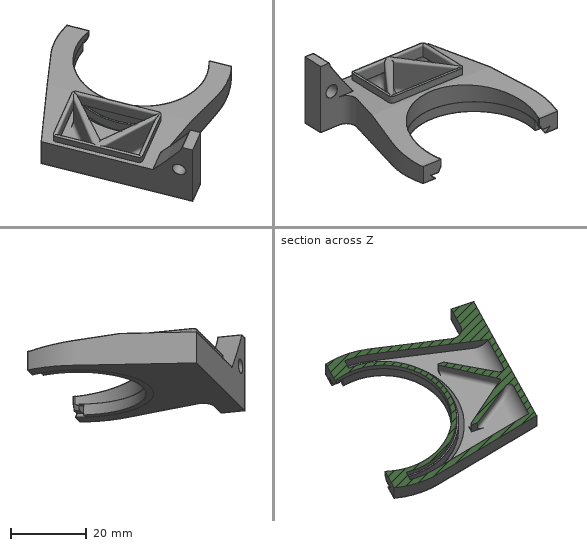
import cadquery as cq
import math

total_depth = 44.5
body_height = 8.65
bore_center_y = 37.7
bore_radius = 18.0
arm_radius = 24.0
front_half_width = 15.25

tip_height = 5.2
tip_flat_length = 1.0
tip_half_gap = 16.9
tip_bevel_half_gap = 18.8

ear_right_x = 27.15
ear_depth = 6.6
ear_height = 20.3
ear_root_x = 16.0
ear_bend = (19.9, 13.6)
ear_kink = (23.65, 18.9)
ear_top_x = 24.25
ear_fillet = 3.0
ear_hole_x = 23.4
ear_hole_z = 11.3
ear_hole_diameter = 3.85

wall = 1.5
side_wall = 1.95
front_floor_radius = 4.35

rim_height = 2.05
rim_half_width = 12.5
rim_front_y = 1.2
rim_back_y = 18.25
rim_corner_radius = 1.0
rim_land = 0.6
edge_round = 0.5
rib_apex_y = 3.15
rib_foot_half_width = 0.75
rib_corner_drop = 0.65
rib_foot_fillet = 1.0

ring_outer_radius = 19.95
ring_height = 3.0
ring_end_y = bore_center_y + 4.1

slope_start_y = bore_center_y - bore_radius
tip_flat_y = total_depth - tip_flat_length
rim_top = body_height + rim_height
cavity_top = body_height - wall
cavity_back_y = total_depth - wall
window_half_width = rim_half_width - rim_land
window_front_y = rim_front_y + rim_land
window_back_y = rim_back_y - rim_land

corner_distance = math.hypot(front_half_width, bore_center_y)
side_angle = math.asin(arm_radius / corner_distance) - math.atan2(front_half_width, bore_center_y)

reach = 30.7
margin = 0.05


def box_between(low, high):
    size = [end - start for start, end in zip(low, high)]
    return cq.Workplane("XY").box(*size, centered=False).translate(low)


def band(y_start, y_end, z_start, z_end):
    """Block across the full width of the part."""
    return box_between((-reach, y_start, z_start), (reach, y_end, z_end))


def disc(radius, height):
    """Disc on the bore axis, standing on the underside plane."""
    return cq.Workplane("XY").center(0, bore_center_y).circle(radius).extrude(height)


def prism_along_y(points, y_start, y_end):
    return cq.Workplane("XZ", origin=(0, y_start, 0)).polyline(points).close().extrude(y_start - y_end)


def fork_plan(radius, front_y, back_y):
    """Full-height fork without its bore: straight sides tangent to arcs of the given radius."""
    tangent_x = radius * math.cos(side_angle)
    tangent_y = bore_center_y - radius * math.sin(side_angle)
    front_x = tangent_x - (tangent_y - front_y) * math.tan(side_angle)
    back_x = math.sqrt(radius**2 - (back_y - bore_center_y) ** 2)
    return (
        cq.Workplane("XY")
        .moveTo(-front_x, front_y)
        .lineTo(front_x, front_y)
        .lineTo(tangent_x, tangent_y)
        .threePointArc((radius, bore_center_y), (back_x, back_y))
        .lineTo(-back_x, back_y)
        .threePointArc((-radius, bore_center_y), (-tangent_x, tangent_y))
        .close()
        .extrude(body_height)
    )


def under_sloping_top(bottom, drop):
    """Space from a bottom height up to the sloping top, with that top lowered by the drop."""
    profile = [
        (0, bottom),
        (0, body_height - drop),
        (slope_start_y, body_height - drop),
        (tip_flat_y, tip_height - drop),
        (total_depth, tip_height - drop),
        (total_depth, bottom),
    ]
    return cq.Workplane("YZ", origin=(-reach, 0, 0)).polyline(profile).close().extrude(2 * reach)


def make_body():
    """Solid fork with the base of the ear blended into its right side."""
    ear_base = box_between((0, 0, 0), (ear_right_x, ear_depth, body_height))
    body = fork_plan(arm_radius, 0, total_depth).union(ear_base)
    inner_corner = cq.selectors.BoxSelector(
        (ear_root_x, ear_depth - margin, 0),
        (ear_right_x - margin, ear_depth + margin, body_height),
    )
    body = body.edges("|Z").edges(inner_corner).fillet(ear_fillet)
    return body.intersect(under_sloping_top(0, 0))


def make_ear():
    profile = [
        (ear_root_x, body_height),
        ear_bend,
        ear_kink,
        (ear_top_x, ear_height),
        (ear_right_x, ear_height),
        (ear_right_x, body_height),
    ]
    return prism_along_y(profile, 0, ear_depth)


def make_ear_hole():
    center = cq.Workplane("XZ").center(ear_hole_x, ear_hole_z)
    return center.circle(ear_hole_diameter / 2).extrude(-ear_depth)


def make_rim():
    low = (-rim_half_width, rim_front_y, body_height)
    high = (rim_half_width, rim_back_y, rim_top)
    return box_between(low, high).edges("|Z").fillet(rim_corner_radius)


def make_pockets():
    """Triangular openings from floor to rim top: between the legs of the V, then one on each side."""
    outlines = [[(-window_half_width, window_back_y), (window_half_width, window_back_y), (0, rib_apex_y)]]
    for side in (-1, 1):
        outlines.append(
            [
                (side * window_half_width, window_back_y - rib_corner_drop),
                (side * window_half_width, window_front_y),
                (side * rib_foot_half_width, window_front_y),
            ]
        )
    floor_plane = cq.Workplane("XY", origin=(0, 0, wall))
    return [
        floor_plane.polyline(points).close().offset2D(-edge_round).extrude(rim_top - wall)
        for points in outlines
    ]


def make_rib(pockets):
    """V-shaped rib standing on the floor, left between the pockets."""
    rib = box_between(
        (-window_half_width + edge_round, window_front_y + edge_round, wall),
        (window_half_width - edge_round, window_back_y - edge_round, cavity_top),
    )
    for pocket in pockets:
        rib = rib.cut(pocket)
    return rib


def front_floor_blend(middle_pocket):
    """Concave blend from the floor up to the front wall, clear of the flat floor inside the V."""
    center = wall + front_floor_radius
    cylinder = (
        cq.Workplane("YZ", origin=(-reach, center, center)).circle(front_floor_radius).extrude(2 * reach)
    )
    return band(0, center, 0, center).cut(cylinder).cut(middle_pocket)


def make_cavity(pockets):
    """Hollow inside the walls, around the V rib with its filleted foot."""
    plan = fork_plan(arm_radius - side_wall, wall, cavity_back_y).cut(disc(bore_radius + wall, body_height))
    cavity = plan.intersect(under_sloping_top(wall, wall))
    cavity = cavity.cut(front_floor_blend(pockets[0])).cut(make_rib(pockets))
    window_floor = cq.selectors.BoxSelector(
        (-window_half_width, window_front_y, wall - margin),
        (window_half_width, window_back_y, wall + margin),
    )
    rib_foot = cavity.edges(window_floor).edges("not(|X or |Y)").edges("%LINE")
    return rib_foot.fillet(rib_foot_fillet)


def make_ring_seat():
    return disc(ring_outer_radius, ring_height).intersect(band(0, cavity_back_y, 0, ring_height))


def make_floor_bevel():
    """45 degree cone that trims the floor edge back from the ring, widening upward."""
    center = cq.Vector(0, bore_center_y, 0)
    return cq.Workplane(cq.Solid.makeCone(ring_outer_radius, ring_outer_radius + wall, wall, pnt=center))


def make_tip_relief():
    """Room between the arm tips: parallel inner faces, bevelled away below the ring seat height."""
    low = (-tip_half_gap, tip_flat_y, 0)
    high = (tip_half_gap, total_depth, body_height)
    bevel = [
        (-tip_bevel_half_gap, 0),
        (-tip_half_gap, ring_height),
        (tip_half_gap, ring_height),
        (tip_bevel_half_gap, 0),
    ]
    return box_between(low, high).union(prism_along_y(bevel, cavity_back_y, total_depth))


def make_housing():
    pockets = make_pockets()
    housing = make_body().union(make_ear()).union(make_rim())
    housing = housing.cut(make_ear_hole()).cut(disc(bore_radius, body_height)).cut(make_cavity(pockets))
    for pocket in pockets:
        housing = housing.cut(pocket.intersect(band(0, rim_back_y, cavity_top, rim_top)))
    window_edges = cq.selectors.BoxSelector(
        (-window_half_width, window_front_y, rim_top - margin),
        (window_half_width, window_back_y, rim_top + margin),
    )
    housing = housing.edges(window_edges).fillet(edge_round)
    return housing.cut(make_ring_seat()).cut(make_floor_bevel()).cut(make_tip_relief())


def make_ring():
    ring = disc(ring_outer_radius, ring_height).cut(disc(bore_radius, ring_height))
    return ring.intersect(band(0, ring_end_y, 0, ring_height))


housing = make_housing().solids()
ring = make_ring().solids()
result = cq.Compound.makeCompound([housing.val(), ring.val()])